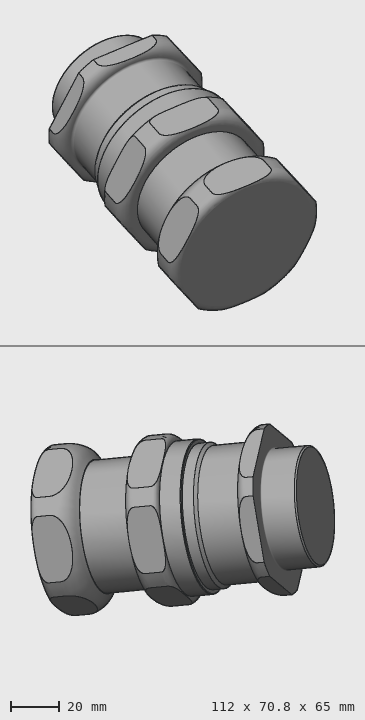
import cadquery as cq
import math


ACROSS_FLATS = 65.0
HEX_ACROSS_CORNERS = ACROSS_FLATS / math.cos(math.pi / 6)
CORNER_RADIUS = 35.4

ENTRY_HEX_START = 15.0
ENTRY_HEX_END = 23.1
SEAL_START = 41.1
SLEEVE_START = 47.3
MIDDLE_HEX_START = 56.5
MIDDLE_HEX_END = 71.4
CAP_START = 92.5
TOTAL_LENGTH = 112.0

STUD_RADIUS = 50.0 / 2
STUD_CHAMFER = 0.7
STUD_ROOT_FILLET = 0.5
BARREL_RADIUS = 57.5 / 2
BARREL_ROOT_FILLET = 1.0
ENTRY_HEX_ROUND = 5.2

SEAL_RADIUS = 60.3 / 2
SEAL_CHAMFER_LENGTH = 1.3

SLEEVE_RADIUS = 64.0 / 2
SLEEVE_CHAMFER = 0.3
MIDDLE_FRONT_ROUND = 2.9
MIDDLE_BACK_ROUND = 4.8

TUBE_RADIUS = 54.8 / 2
CAP_FRONT_ROUND = 10.4
CAP_BACK_ROUND = 3.9
CAP_MOUTH_RADIUS = 27.7
CAP_CONE_RADIUS = 30.5

DIAGONAL = math.sqrt(0.5)


def revolve_about_x(profile):
    """Turn a closed profile, drawn as (x, radius), around the X axis."""
    return profile.close().revolve(360, (0, 0, 0), (1, 0, 0))


def disc(start, end, radius):
    """Plain cylinder between two stations on the X axis."""
    return cq.Workplane("YZ", origin=(start, 0, 0)).circle(radius).extrude(end - start)


def turned_hexagon(start, end, front_round, back_round):
    """Hexagon with turned corners; a round of zero leaves that end square."""
    hexagon = (
        cq.Workplane("YZ", origin=(start, 0, 0))
        .polygon(6, HEX_ACROSS_CORNERS)
        .extrude(end - start)
    )
    profile = cq.Workplane("XY").moveTo(start, 0).lineTo(start, CORNER_RADIUS - front_round)
    if front_round:
        profile = profile.threePointArc(
            (
                start + front_round * (1 - DIAGONAL),
                CORNER_RADIUS - front_round * (1 - DIAGONAL),
            ),
            (start + front_round, CORNER_RADIUS),
        )
    profile = (
        profile.lineTo(end - back_round, CORNER_RADIUS)
        .threePointArc(
            (
                end - back_round * (1 - DIAGONAL),
                CORNER_RADIUS - back_round * (1 - DIAGONAL),
            ),
            (end, CORNER_RADIUS - back_round),
        )
        .lineTo(end, 0)
    )
    return hexagon.intersect(revolve_about_x(profile))


def make_entry_body():
    """Chamfered stud, hexagon and barrel, filleted where they meet the hexagon."""
    stud_fillet_start = ENTRY_HEX_START - STUD_ROOT_FILLET
    barrel_fillet_end = ENTRY_HEX_END + BARREL_ROOT_FILLET
    profile = (
        cq.Workplane("XY")
        .lineTo(0, STUD_RADIUS - STUD_CHAMFER)
        .lineTo(STUD_CHAMFER, STUD_RADIUS)
        .lineTo(stud_fillet_start, STUD_RADIUS)
        .threePointArc(
            (
                stud_fillet_start + STUD_ROOT_FILLET * DIAGONAL,
                STUD_RADIUS + STUD_ROOT_FILLET * (1 - DIAGONAL),
            ),
            (ENTRY_HEX_START, STUD_RADIUS + STUD_ROOT_FILLET),
        )
        .lineTo(ENTRY_HEX_START, BARREL_RADIUS + BARREL_ROOT_FILLET)
        .lineTo(ENTRY_HEX_END, BARREL_RADIUS + BARREL_ROOT_FILLET)
        .threePointArc(
            (
                barrel_fillet_end - BARREL_ROOT_FILLET * DIAGONAL,
                BARREL_RADIUS + BARREL_ROOT_FILLET * (1 - DIAGONAL),
            ),
            (barrel_fillet_end, BARREL_RADIUS),
        )
        .lineTo(SEAL_START, BARREL_RADIUS)
        .lineTo(SEAL_START, 0)
    )
    hexagon = turned_hexagon(ENTRY_HEX_START, ENTRY_HEX_END, 0, ENTRY_HEX_ROUND)
    return revolve_about_x(profile).union(hexagon)


def make_seal_ring():
    """Disc whose front edge slopes down to the barrel."""
    profile = (
        cq.Workplane("XY")
        .moveTo(SEAL_START, 0)
        .lineTo(SEAL_START, BARREL_RADIUS)
        .lineTo(SEAL_START + SEAL_CHAMFER_LENGTH, SEAL_RADIUS)
        .lineTo(SLEEVE_START, SEAL_RADIUS)
        .lineTo(SLEEVE_START, 0)
    )
    return revolve_about_x(profile)


def make_middle_nut():
    """Round sleeve with a small front chamfer, followed by a hexagon."""
    sleeve = disc(SLEEVE_START, MIDDLE_HEX_START, SLEEVE_RADIUS)
    sleeve = sleeve.faces("<X").chamfer(SLEEVE_CHAMFER)
    hexagon = turned_hexagon(
        MIDDLE_HEX_START, MIDDLE_HEX_END, MIDDLE_FRONT_ROUND, MIDDLE_BACK_ROUND
    )
    return sleeve.union(hexagon)


def make_tube():
    """Plain tube section between the middle nut and the end cap."""
    return disc(MIDDLE_HEX_END, CAP_START, TUBE_RADIUS)


def make_end_cap():
    """Hexagon with a large front round that starts with a short cone at the tube."""
    hexagon = turned_hexagon(CAP_START, TOTAL_LENGTH, CAP_FRONT_ROUND, CAP_BACK_ROUND)
    round_center_radius = CORNER_RADIUS - CAP_FRONT_ROUND
    cone_rise = CAP_CONE_RADIUS - round_center_radius
    cone_end = CAP_START + CAP_FRONT_ROUND - math.sqrt(CAP_FRONT_ROUND**2 - cone_rise**2)
    cone = revolve_about_x(
        cq.Workplane("XY")
        .moveTo(CAP_START, 0)
        .lineTo(CAP_START, CAP_MOUTH_RADIUS)
        .lineTo(cone_end, CAP_CONE_RADIUS)
        .lineTo(cone_end, 0)
    )
    return hexagon.union(cone)


entry_body = make_entry_body()
seal_ring = make_seal_ring()
middle_nut = make_middle_nut()
tube = make_tube()
end_cap = make_end_cap()

result = cq.Compound.makeCompound(
    [entry_body.val(), seal_ring.val(), middle_nut.val(), tube.val(), end_cap.val()]
)